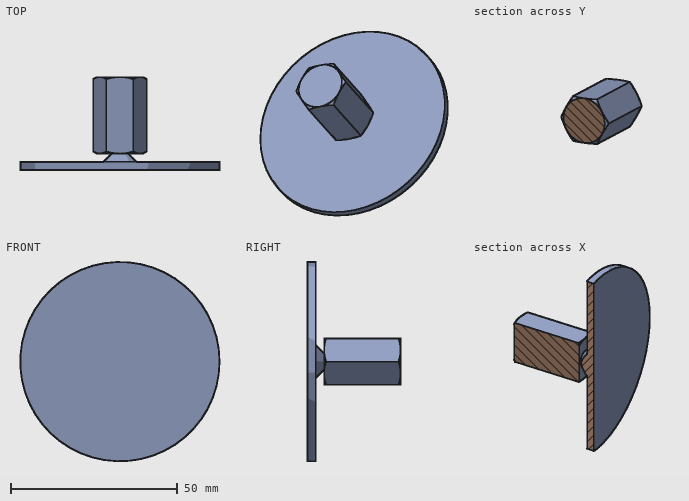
import cadquery as cq
import math

plate_diameter = 60.0
plate_thickness = 2.5

neck_length = 2.5
neck_base_radius = 5.0
neck_tip_radius = neck_base_radius - neck_length

hex_across_flats = 14.0
hex_across_corners = hex_across_flats / math.cos(math.radians(30))
hex_length = 23.0
hex_start = plate_thickness + neck_length
hex_end = hex_start + hex_length

corner_chamfer_angle = 30.0
flat_radius = hex_across_flats / 2
corner_radius = hex_across_corners / 2
corner_chamfer_length = (corner_radius - flat_radius) * math.tan(math.radians(corner_chamfer_angle))


def turned_about_y(profile_points):
    """Revolve a closed (radius, Y) outline about the Y axis."""
    return cq.Workplane("XY").polyline(profile_points).close().revolve(360, (0, 0, 0), (0, 1, 0))


def make_plate():
    """Round plate with the conical neck on its back face."""
    return turned_about_y([
        (0, 0),
        (plate_diameter / 2, 0),
        (plate_diameter / 2, plate_thickness),
        (neck_base_radius, plate_thickness),
        (neck_tip_radius, hex_start),
        (0, hex_start),
    ])


def make_standoff():
    """Hexagonal bar with its corners chamfered at both ends."""
    bar = (
        cq.Workplane("XZ", origin=(0, hex_start, 0))
        .polygon(6, hex_across_corners)
        .extrude(-hex_length)
    )
    chamfer_envelope = turned_about_y([
        (0, hex_start),
        (flat_radius, hex_start),
        (corner_radius, hex_start + corner_chamfer_length),
        (corner_radius, hex_end - corner_chamfer_length),
        (flat_radius, hex_end),
        (0, hex_end),
    ])
    return bar.intersect(chamfer_envelope)


plate = make_plate()
standoff = make_standoff()

result = cq.Compound.makeCompound([plate.val(), standoff.val()])